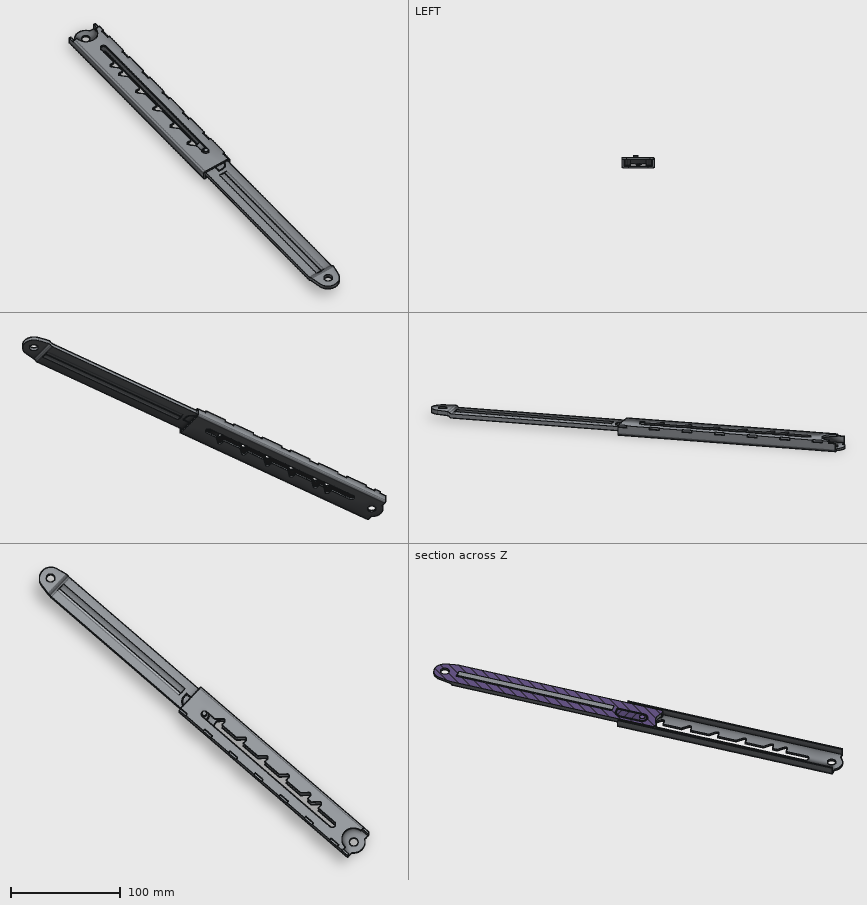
import cadquery as cq
import math


SHEET = 2.0
SLIDER_THICKNESS = 4.0
HOUSING_HEIGHT = 10.0
PLATE_UNDERSIDE = HOUSING_HEIGHT - SHEET
SLIDER_BOTTOM = PLATE_UNDERSIDE - SLIDER_THICKNESS
PIN_TOP = 11.5

TOTAL_LENGTH = 392.8
END_RADIUS = 10.5
HOLE_RADIUS = 4.0
HOLE_INSET = 10.2
WALL_START = 4.7
PLATE_START = 11.0
HOUSING_END = 211.5

WIDTH = 30.0
INNER_WIDTH = WIDTH - 2 * SHEET

SLOT_START = 31.5
SLOT_END = 194.5
SLOT_WIDTH = 6.0
SLOT_Y = 2.5
TOOTH_PITCH = 26.5
LAST_TOOTH = 173.0
TOOTH_STEPS = (0, 1, 2, 3, 4, 4.5)
TOOTH_RADIUS = 2.0
TOOTH_CENTER_Y = -4.5

NOTCH_START = 17.0
NOTCH_LENGTH = 9.5
NOTCH_PITCH = 31.0
NOTCH_COUNT = 7

SLIDER_WIDTH = 24.7
SLIDER_START = 176.5
FORK_DEPTH = 2.7
FORK_RADIUS = 10.5
FORK_HALF_WIDTH = math.sqrt(FORK_RADIUS**2 - (FORK_RADIUS - FORK_DEPTH) ** 2)
PRONG_CORNER = 2.5
FOOT_LENGTH = 2.7
FOOT_DEPTH = 1.0
JOG_START = 370.5
JOG_END = 374.5
JOG_RISE = HOUSING_HEIGHT - PLATE_UNDERSIDE
BEAD_START = 221.0
BEAD_END = 370.5
BEAD_WIDTH = 8.2
BEAD_DEPTH = 1.0
BEAD_STEP_Y = 1.5
BEAD_STEP_DEPTH = 0.5

PIN_RADIUS = 2.15
PIN_X = 191.5
LEVER_WIDTH = 9.0
LEVER_Y = 3.5
LEVER_END = 216.5
LEVER_CORNER = 6.0
LEVER_CLEARANCE = 0.8


def block(x0, x1, y0, y1, z0, z1):
    return cq.Workplane("XY").box(x1 - x0, y1 - y0, z1 - z0, centered=False).translate((x0, y0, z0))


def cylinder(x, y, radius, z0, z1):
    return cq.Workplane("XY").circle(radius).extrude(z1 - z0).translate((x, y, z0))


def slot_cutter():
    """Straight slot with a row of ramped teeth along its -Y side, through plate and floor."""
    middle = (SLOT_START + SLOT_END) / 2
    cutter = (
        cq.Workplane("XY", origin=(middle, SLOT_Y, 0))
        .slot2D(SLOT_END - SLOT_START, SLOT_WIDTH)
        .extrude(HOUSING_HEIGHT)
    )
    diagonal = TOOTH_RADIUS * math.sqrt(0.5)
    ramp_rise = SLOT_Y - (TOOTH_CENTER_Y - diagonal)
    for step in TOOTH_STEPS:
        left = LAST_TOOTH - step * TOOTH_PITCH
        center = left + TOOTH_RADIUS
        tooth = (
            cq.Workplane("XY")
            .moveTo(left, SLOT_Y)
            .lineTo(left, TOOTH_CENTER_Y)
            .threePointArc(
                (center, TOOTH_CENTER_Y - TOOTH_RADIUS),
                (center + diagonal, TOOTH_CENTER_Y - diagonal),
            )
            .lineTo(center + diagonal + ramp_rise, SLOT_Y)
            .close()
            .extrude(HOUSING_HEIGHT)
        )
        cutter = cutter.union(tooth)
    return cutter


def make_housing():
    """Rectangular tube with a rounded mounting end, a toothed slot and edge notches."""
    half = WIDTH / 2
    inner = INNER_WIDTH / 2
    body = block(WALL_START, HOUSING_END, -half, half, 0, HOUSING_HEIGHT)
    body = body.edges("|X and (<Z or (>Z and <Y))").fillet(SHEET)
    body = body.cut(block(0, HOUSING_END, -inner, inner, SHEET, PLATE_UNDERSIDE))

    body = body.cut(block(0, PLATE_START, -half, half, PLATE_UNDERSIDE, HOUSING_HEIGHT))
    body = body.cut(block(0, PLATE_START, -inner, inner, SHEET, HOUSING_HEIGHT))
    body = body.cut(cylinder(END_RADIUS, 0, END_RADIUS, SHEET, HOUSING_HEIGHT))

    body = body.union(cylinder(END_RADIUS, 0, END_RADIUS, 0, SHEET))
    body = body.cut(cylinder(HOLE_INSET, 0, HOLE_RADIUS, 0, SHEET))

    body = body.cut(slot_cutter())
    for index in range(NOTCH_COUNT):
        start = NOTCH_START + index * NOTCH_PITCH
        body = body.cut(
            block(start, start + NOTCH_LENGTH, inner, half, PLATE_UNDERSIDE, HOUSING_HEIGHT)
        )
    return body


def lever_blank(clearance):
    """Lever grown by the clearance: round around the pin, one rounded corner at the far end."""
    half = LEVER_WIDTH / 2 + clearance
    corner = LEVER_CORNER + clearance
    end = LEVER_END + clearance
    top = LEVER_Y + half
    bottom = LEVER_Y - half
    bend = corner * (1 - math.sqrt(0.5))
    return (
        cq.Workplane("XY", origin=(0, 0, SLIDER_BOTTOM))
        .moveTo(PIN_X, bottom)
        .lineTo(end, bottom)
        .lineTo(end, top - corner)
        .threePointArc((end - bend, top - bend), (end - corner, top))
        .lineTo(PIN_X, top)
        .threePointArc((PIN_X - half, LEVER_Y), (PIN_X, bottom))
        .close()
        .extrude(SLIDER_THICKNESS)
    )


def bead_segment(z):
    """Long bead below height z: a shallow slope, a small step, then an arc rising to the -Y edge."""
    half = BEAD_WIDTH / 2
    run = half + BEAD_STEP_Y
    radius = (run**2 + BEAD_DEPTH**2) / (2 * BEAD_DEPTH)
    sag_halfway = radius - math.sqrt(radius**2 - (run / 2) ** 2)
    return (
        cq.Workplane("YZ", origin=(BEAD_START, 0, z))
        .moveTo(half, 0)
        .lineTo(BEAD_STEP_Y, -BEAD_STEP_DEPTH)
        .lineTo(BEAD_STEP_Y, -BEAD_DEPTH)
        .threePointArc((BEAD_STEP_Y - run / 2, sag_halfway - BEAD_DEPTH), (-half, 0))
        .close()
        .extrude(BEAD_END - BEAD_START)
    )


def slider_plan():
    """Straight strip with a tapered and rounded tab at the far end, as a tall prism."""
    half = SLIDER_WIDTH / 2
    tab_x = TOTAL_LENGTH - END_RADIUS
    reach = math.hypot(tab_x - JOG_END, half)
    angle = math.atan2(half, JOG_END - tab_x) - math.acos(END_RADIUS / reach)
    touch_x = tab_x + END_RADIUS * math.cos(angle)
    touch_y = END_RADIUS * math.sin(angle)
    return (
        cq.Workplane("XY")
        .moveTo(SLIDER_START, -half)
        .lineTo(JOG_END, -half)
        .lineTo(touch_x, -touch_y)
        .threePointArc((TOTAL_LENGTH, 0), (touch_x, touch_y))
        .lineTo(JOG_END, half)
        .lineTo(SLIDER_START, half)
        .close()
        .extrude(HOUSING_HEIGHT)
    )


def make_slider():
    """Flat strip, forked inside the housing, that jogs up to its end tab."""
    bottom = SLIDER_BOTTOM
    top = PLATE_UNDERSIDE
    jog_middle = (JOG_START + JOG_END) / 2
    profile = (
        cq.Workplane("XZ", origin=(0, SLIDER_WIDTH / 2, 0))
        .moveTo(SLIDER_START, bottom)
        .lineTo(JOG_START, bottom)
        .tangentArcPoint((jog_middle, bottom + JOG_RISE / 2), relative=False)
        .tangentArcPoint((JOG_END, bottom + JOG_RISE), relative=False)
        .lineTo(TOTAL_LENGTH, bottom + JOG_RISE)
        .lineTo(TOTAL_LENGTH, top + JOG_RISE)
        .lineTo(JOG_END, top + JOG_RISE)
        .tangentArcPoint((jog_middle, top + JOG_RISE / 2), relative=False)
        .tangentArcPoint((JOG_START, top), relative=False)
        .lineTo(SLIDER_START, top)
        .close()
        .extrude(SLIDER_WIDTH)
    )
    body = profile.intersect(slider_plan())
    body = body.cut(cylinder(TOTAL_LENGTH - HOLE_INSET, 0, HOLE_RADIUS, 0, HOUSING_HEIGHT))
    fork_x = SLIDER_START + FORK_DEPTH - FORK_RADIUS
    body = body.cut(cylinder(fork_x, 0, FORK_RADIUS, bottom, top))

    half = SLIDER_WIDTH / 2
    foot_end = SLIDER_START + FOOT_LENGTH
    for y0, y1 in ((-half, -FORK_HALF_WIDTH), (FORK_HALF_WIDTH, half)):
        body = body.union(block(SLIDER_START, foot_end, y0, y1, bottom - FOOT_DEPTH, bottom))
    body = body.edges("|Z and <X and (<Y or >Y)").fillet(PRONG_CORNER)

    body = body.union(bead_segment(bottom)).cut(bead_segment(top))
    return body.cut(lever_blank(LEVER_CLEARANCE))


def make_lever():
    """Lever that fills the slider window and has a hole for the pin."""
    return lever_blank(0).cut(make_pin())


def make_pin():
    """Pin through the lever that stands up through the slot."""
    return cylinder(PIN_X, SLOT_Y, PIN_RADIUS, SLIDER_BOTTOM, PIN_TOP)


housing = make_housing()
slider = make_slider()
lever = make_lever()
pin = make_pin()

result = cq.Compound.makeCompound([housing.val(), slider.val(), lever.val(), pin.val()])